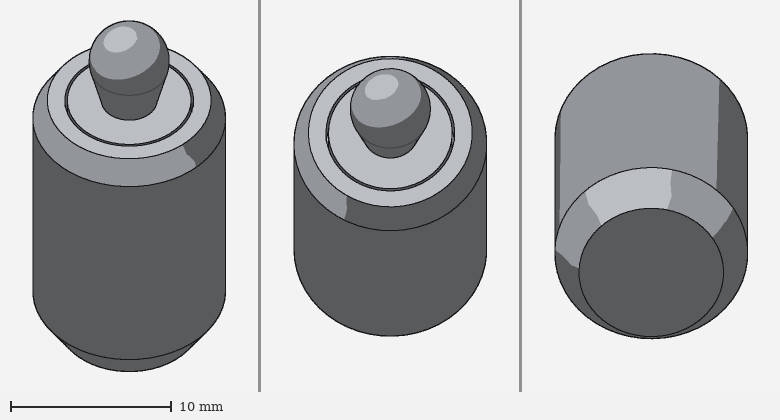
import cadquery as cq
import math

housing_diameter = 12.0
housing_height = 19.5
top_chamfer_height = 1.55
top_face_diameter = 10.2
bottom_chamfer_height = 2.6
bottom_face_diameter = 9.0

bore_diameter = 8.0
insert_clearance = 0.15
insert_depth = 2.0

overall_height = 25.5
ball_radius = 2.5
neck_radius = 1.73

bore_radius = bore_diameter / 2
bore_floor_z = housing_height - insert_depth
insert_radius = bore_radius - insert_clearance
ball_center_z = overall_height - ball_radius


def make_housing():
    """Round housing with conical ends and a blind bore in the top."""
    outer_radius = housing_diameter / 2
    return (
        cq.Workplane("XZ")
        .moveTo(0, 0)
        .lineTo(bottom_face_diameter / 2, 0)
        .lineTo(outer_radius, bottom_chamfer_height)
        .lineTo(outer_radius, housing_height - top_chamfer_height)
        .lineTo(top_face_diameter / 2, housing_height)
        .lineTo(bore_radius, housing_height)
        .lineTo(bore_radius, bore_floor_z)
        .lineTo(0, bore_floor_z)
        .close()
        .revolve(360, (0, 0, 0), (0, 1, 0))
    )


def make_insert():
    """Disc on the bore floor, with a hole for the pin and a narrow gap around its rim."""
    return (
        cq.Workplane("XY")
        .workplane(offset=bore_floor_z)
        .circle(insert_radius)
        .circle(neck_radius)
        .extrude(insert_depth)
    )


def make_pin():
    """Straight shank, then a neck that widens upward and runs tangent into a ball end."""
    drop = ball_center_z - housing_height
    reach = math.hypot(neck_radius, drop)
    tangent_angle = math.acos(ball_radius / reach) - math.atan2(drop, neck_radius)
    tangent_point = (
        ball_radius * math.cos(tangent_angle),
        ball_center_z + ball_radius * math.sin(tangent_angle),
    )
    ball_side = (
        ball_radius * math.cos(math.pi / 4),
        ball_center_z + ball_radius * math.sin(math.pi / 4),
    )
    return (
        cq.Workplane("XZ")
        .moveTo(0, bore_floor_z)
        .lineTo(neck_radius, bore_floor_z)
        .lineTo(neck_radius, housing_height)
        .lineTo(*tangent_point)
        .threePointArc(ball_side, (0, overall_height))
        .close()
        .revolve(360, (0, 0, 0), (0, 1, 0))
    )


housing = make_housing()
insert = make_insert()
pin = make_pin()

result = cq.Compound.makeCompound([housing.val(), insert.val(), pin.val()])